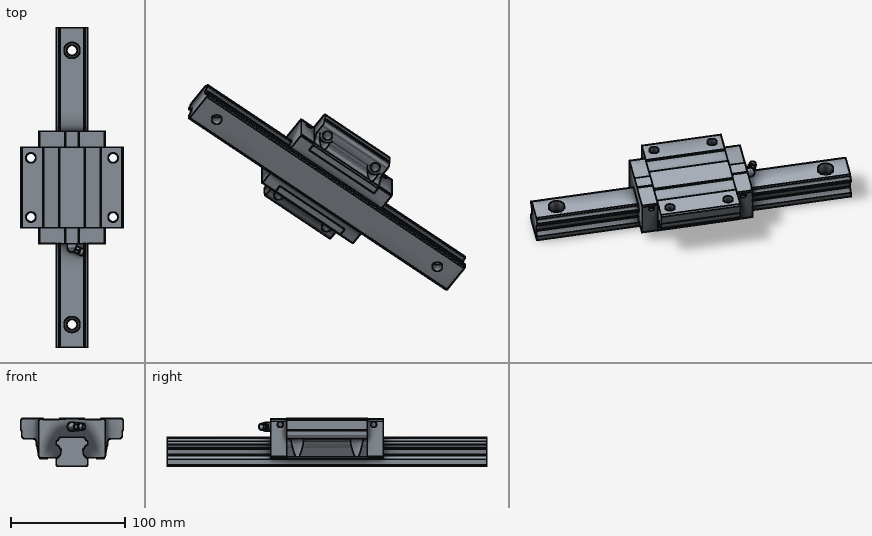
import cadquery as cq
import math

RAIL_LENGTH = 280.0
RAIL_HEIGHT = 25.8
RAIL_HALF_WIDTH = 14.0
RAIL_TOP_X = 10.5
RAIL_TOP_CHAMFER = 1.0
UPPER_GROOVE_MIDDLE = (12.3, 23.0)
LIP_TOP_Z = 22.0
LIP_BOTTOM_Z = 19.5
LOWER_GROOVE_START = (13.0, 18.8)
LOWER_GROOVE_MIDDLE = (11.8, 18.0)
LOWER_GROOVE_END = (11.2, 16.5)
WAIST_TOP = (9.5, 14.8)
WAIST_BOTTOM = (10.0, 10.5)
FOOT_SLOPE_TOP = (10.5, 9.5)
FOOT_SLOPE_BOTTOM_Z = 6.2
FOOT_CHAMFER = 1.5
RAIL_BOLT_DIAMETER = 9.0
RAIL_BOLT_HEAD_DIAMETER = 14.0
RAIL_BOLT_HEAD_DEPTH = 12.0
RAIL_BOLT_SPACING = 240.0

BLOCK_TOP_Z = 42.0
BLOCK_LENGTH = 70.5
TOP_GROOVE_INNER_X = 10.5
TOP_GROOVE_OUTER_X = 25.5
TOP_GROOVE_DEPTH = 1.0
TOP_GROOVE_WALL_RUN = 0.8
FLANGE_WIDTH = 90.0
FLANGE_X = FLANGE_WIDTH / 2
FLANGE_CHAMFER = 1.5
FLANGE_STEP = 0.8
FLANGE_STEP_TOP_Z = 32.2
FLANGE_STEP_BOTTOM_Z = 31.0
FLANGE_BOTTOM_Z = 24.0
FLANGE_EDGE_RADIUS = 3.0
SKIRT_TOP_X = 31.5
SKIRT_ROOT_RADIUS = 2.5
SKIRT_LEDGE_TOP = (31.0, 19.0)
SKIRT_LEDGE_BOTTOM = (30.5, 17.5)
SKIRT_BOTTOM = (29.0, 8.7)
SOLE_Z = 6.7
SOLE_OUTER_X = 27.7
SOLE_INNER_X = 21.5
MOUNT_HOLE_DIAMETER = 8.5
MOUNT_RELIEF_DIAMETER = 14.0
MOUNT_SPACING_X = 72.0
MOUNT_SPACING_Y = 51.8

CARRIAGE_LENGTH = 98.5
CAP_LENGTH = (CARRIAGE_LENGTH - BLOCK_LENGTH) / 2
CAP_X = 29.0
CAP_TOP_Z = 41.2
CAP_BOTTOM_Z = 7.5
CAP_CHAMFER_X = 0.8
CAP_CHAMFER_Z = 1.5
CAP_PAD_TOP_Z = 41.7
CAP_PAD_TOP_X = 5.5
CAP_PAD_BASE_X = 6.2
CAP_HOLE_DIAMETER = 5.0
CAP_HOLE_DEPTH = 2.8
CAP_HOLE_Z = 36.7
CAP_HOLE_SPACING = 81.8

NIPPLE_Z = 34.7
NIPPLE_BASE_DIAMETER = 8.0
NIPPLE_BASE_LENGTH = 3.5
FITTING_ANGLE = 25.0
NECK_DIAMETER = 5.3
HEX_ACROSS_FLATS = 6.0
HEX_START = 3.5
HEX_END = 6.7
HEAD_DIAMETER = 6.0
HEAD_START = 7.5
HEAD_END = 10.0
TIP_DIAMETER = 5.0
TIP_END = 11.5


def symmetric_bar(half_outline, length, start_y=0.0):
    """Mirror a half outline (open, ending on X = 0) and extrude it toward +Y from start_y."""
    return half_outline.mirrorY().extrude(-length).translate((0, start_y, 0))


def rail_bar():
    """Rail section with ball grooves above and below each lip, without bolt holes."""
    half = (
        cq.Workplane("XZ")
        .moveTo(0, RAIL_HEIGHT)
        .lineTo(RAIL_TOP_X, RAIL_HEIGHT)
        .lineTo(RAIL_TOP_X + RAIL_TOP_CHAMFER, RAIL_HEIGHT - RAIL_TOP_CHAMFER)
        .threePointArc(UPPER_GROOVE_MIDDLE, (RAIL_HALF_WIDTH, LIP_TOP_Z))
        .lineTo(RAIL_HALF_WIDTH, LIP_BOTTOM_Z)
        .lineTo(*LOWER_GROOVE_START)
        .threePointArc(LOWER_GROOVE_MIDDLE, LOWER_GROOVE_END)
        .lineTo(*WAIST_TOP)
        .lineTo(*WAIST_BOTTOM)
        .lineTo(*FOOT_SLOPE_TOP)
        .lineTo(RAIL_HALF_WIDTH, FOOT_SLOPE_BOTTOM_Z)
        .lineTo(RAIL_HALF_WIDTH, FOOT_CHAMFER)
        .lineTo(RAIL_HALF_WIDTH - FOOT_CHAMFER, 0)
        .lineTo(0, 0)
    )
    return symmetric_bar(half, RAIL_LENGTH, -RAIL_LENGTH / 2)


def make_rail():
    """Rail with a counterbored bolt hole near each end."""
    return (
        rail_bar()
        .faces(">Z")
        .workplane(origin=(0, 0, RAIL_HEIGHT))
        .rarray(2.8, RAIL_BOLT_SPACING, 1, 2)
        .cboreHole(RAIL_BOLT_DIAMETER, RAIL_BOLT_HEAD_DIAMETER, RAIL_BOLT_HEAD_DEPTH)
    )


def mount_cylinders(diameter, top_z):
    """Four upright cylinders on the mounting hole pattern, from Z = 0 up to top_z."""
    return (
        cq.Workplane("XY")
        .rarray(MOUNT_SPACING_X, MOUNT_SPACING_Y, 2, 2)
        .circle(diameter / 2)
        .extrude(top_z)
    )


def fillet_edge_pair(block, x, z, radius):
    """Round the two lengthwise edges that pass through (x, z) and (-x, z)."""
    for side in (-1, 1):
        nearest = cq.selectors.NearestToPointSelector((side * x, 0, z))
        block = block.edges("|Y").edges(nearest).fillet(radius)
    return block


def make_block():
    """Flanged block with top grooves, mounting holes and bolt reliefs in the skirts."""
    groove_z = BLOCK_TOP_Z - TOP_GROOVE_DEPTH
    flange_edge_x = FLANGE_X - FLANGE_STEP
    half = cq.Workplane("XZ").polyline(
        [
            (0, BLOCK_TOP_Z),
            (TOP_GROOVE_INNER_X, BLOCK_TOP_Z),
            (TOP_GROOVE_INNER_X + TOP_GROOVE_WALL_RUN, groove_z),
            (TOP_GROOVE_OUTER_X - TOP_GROOVE_WALL_RUN, groove_z),
            (TOP_GROOVE_OUTER_X, BLOCK_TOP_Z),
            (FLANGE_X - FLANGE_CHAMFER, BLOCK_TOP_Z),
            (FLANGE_X, BLOCK_TOP_Z - FLANGE_CHAMFER),
            (FLANGE_X, FLANGE_STEP_TOP_Z),
            (flange_edge_x, FLANGE_STEP_BOTTOM_Z),
            (flange_edge_x, FLANGE_BOTTOM_Z),
            (SKIRT_TOP_X, FLANGE_BOTTOM_Z),
            SKIRT_LEDGE_TOP,
            SKIRT_LEDGE_BOTTOM,
            SKIRT_BOTTOM,
            (SOLE_OUTER_X, SOLE_Z),
            (SOLE_INNER_X, SOLE_Z),
            (SOLE_INNER_X, CAP_BOTTOM_Z),
            (0, CAP_BOTTOM_Z),
        ]
    )
    block = symmetric_bar(half, BLOCK_LENGTH, -BLOCK_LENGTH / 2)
    block = fillet_edge_pair(block, flange_edge_x, FLANGE_BOTTOM_Z, FLANGE_EDGE_RADIUS)
    block = fillet_edge_pair(block, SKIRT_TOP_X, FLANGE_BOTTOM_Z, SKIRT_ROOT_RADIUS)
    reliefs = mount_cylinders(MOUNT_RELIEF_DIAMETER, FLANGE_BOTTOM_Z)
    holes = mount_cylinders(MOUNT_HOLE_DIAMETER, BLOCK_TOP_Z)
    return block.cut(reliefs).cut(holes)


def make_end_cap(start_y):
    """One end cap with a raised middle pad and a blind hole in each side."""
    half = cq.Workplane("XZ").polyline(
        [
            (0, CAP_PAD_TOP_Z),
            (CAP_PAD_TOP_X, CAP_PAD_TOP_Z),
            (CAP_PAD_BASE_X, CAP_TOP_Z),
            (CAP_X - CAP_CHAMFER_X, CAP_TOP_Z),
            (CAP_X, CAP_TOP_Z - CAP_CHAMFER_Z),
            (CAP_X, CAP_BOTTOM_Z + CAP_CHAMFER_Z),
            (CAP_X - CAP_CHAMFER_X, CAP_BOTTOM_Z),
            (0, CAP_BOTTOM_Z),
        ]
    )
    cap = symmetric_bar(half, CAP_LENGTH, start_y)
    hole_y = math.copysign(CAP_HOLE_SPACING / 2, start_y)
    for side in (-1, 1):
        hole = (
            cq.Workplane("YZ", origin=(side * CAP_X, hole_y, CAP_HOLE_Z))
            .circle(CAP_HOLE_DIAMETER / 2)
            .extrude(-side * CAP_HOLE_DEPTH)
        )
        cap = cap.cut(hole)
    return cap


def make_carriage():
    """Block and both end caps in one piece, hollowed to ride on the rail."""
    carriage = make_block()
    for start_y in (-CARRIAGE_LENGTH / 2, BLOCK_LENGTH / 2):
        carriage = carriage.union(make_end_cap(start_y))
    return carriage.cut(rail_bar())


def make_nipple():
    """Round base with a domed end, carrying an angled hexagonal grease fitting."""
    cap_face_y = -CARRIAGE_LENGTH / 2
    dome_y = cap_face_y - NIPPLE_BASE_LENGTH
    base_radius = NIPPLE_BASE_DIAMETER / 2
    base = (
        cq.Workplane("XY", origin=(0, 0, NIPPLE_Z))
        .moveTo(0, cap_face_y)
        .lineTo(base_radius, cap_face_y)
        .lineTo(base_radius, dome_y)
        .radiusArc((0, dome_y - base_radius), base_radius)
        .close()
        .revolve(360, (0, 0, 0), (0, 1, 0))
    )

    angle = math.radians(FITTING_ANGLE)
    fitting_plane = cq.Plane(
        origin=(0, dome_y, NIPPLE_Z),
        xDir=(math.sin(angle), math.cos(angle), 0),
        normal=(math.cos(angle), -math.sin(angle), 0),
    )
    fitting = cq.Workplane(fitting_plane)
    neck = fitting.circle(NECK_DIAMETER / 2).extrude(HEAD_START)
    hexagon = (
        fitting.workplane(offset=HEX_START)
        .polygon(6, HEX_ACROSS_FLATS, circumscribed=True)
        .extrude(HEX_END - HEX_START)
    )
    head = (
        fitting.workplane(offset=HEAD_START)
        .circle(HEAD_DIAMETER / 2)
        .extrude(HEAD_END - HEAD_START)
    )
    tip = (
        fitting.workplane(offset=HEAD_END)
        .circle(HEAD_DIAMETER / 2)
        .workplane(offset=TIP_END - HEAD_END)
        .circle(TIP_DIAMETER / 2)
        .loft()
    )
    return base.union(neck).union(hexagon).union(head).union(tip)


rail = make_rail().solids()
carriage = make_carriage().solids()
nipple = make_nipple().solids()
result = cq.Compound.makeCompound([rail.val(), carriage.val(), nipple.val()])